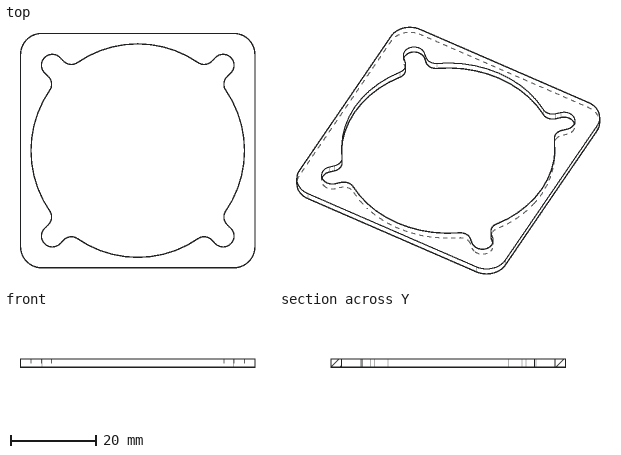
import cadquery as cq
import math

side = 55.0
thickness = 2.0
corner_radius = 5.0

bore_diameter = 50.0
slot_radius = 2.55
slot_end_offset = 20.0
neck_radius = 2.5


def corner_slot(angle):
    """Round-ended slot from the centre out toward one corner."""
    reach = slot_end_offset * math.sqrt(2)
    return (
        cq.Workplane("XY")
        .center(reach / 2 * math.cos(math.radians(angle)), reach / 2 * math.sin(math.radians(angle)))
        .slot2D(reach + 2 * slot_radius, 2 * slot_radius, angle)
        .extrude(thickness)
    )


def neck_edges():
    """Select the upright edges where the slot sides meet the bore."""
    bore_radius = bore_diameter / 2
    along = math.sqrt(bore_radius**2 - slot_radius**2)
    diagonal = math.sqrt(2)
    near = (along - slot_radius) / diagonal
    far = (along + slot_radius) / diagonal
    margin = 0.05
    selector = None
    for sx in (-1, 1):
        for sy in (-1, 1):
            for x, y in ((near, far), (far, near)):
                px = sx * x
                py = sy * y
                box = cq.selectors.BoxSelector(
                    (px - margin, py - margin, 0), (px + margin, py + margin, thickness)
                )
                selector = box if selector is None else selector + box
    return selector


opening = cq.Workplane("XY").circle(bore_diameter / 2).extrude(thickness)
for corner_angle in (45, 135, 225, 315):
    opening = opening.union(corner_slot(corner_angle))
opening = opening.edges(neck_edges()).fillet(neck_radius)

frame = cq.Workplane("XY").rect(side, side).extrude(thickness)
frame = frame.edges("|Z").fillet(corner_radius)

result = frame.cut(opening)